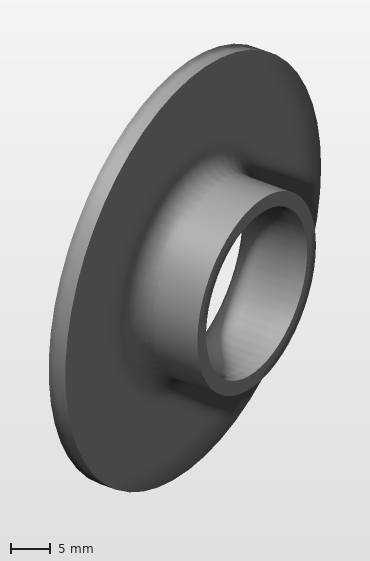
import cadquery as cq

length = 12.0
flange_diameter = 58.0
flange_thickness = 2.5
tube_outer_diameter = 26.9
tube_bore_diameter = 22.9
mouth_radius = 5.0
root_radius = 3.0

flange_r = flange_diameter / 2
tube_r = tube_outer_diameter / 2
bore_r = tube_bore_diameter / 2


def collar_profile():
    """Half section in the XY plane: X along the axis, Y as the radius."""
    return (
        cq.Workplane("XY")
        .moveTo(0, bore_r + mouth_radius)
        .lineTo(0, flange_r)
        .lineTo(flange_thickness, flange_r)
        .lineTo(flange_thickness, tube_r + root_radius)
        .radiusArc((flange_thickness + root_radius, tube_r), -root_radius)
        .lineTo(length, tube_r)
        .lineTo(length, bore_r)
        .lineTo(mouth_radius, bore_r)
        .radiusArc((0, bore_r + mouth_radius), mouth_radius)
        .close()
    )


result = collar_profile().revolve(360, (0, 0, 0), (1, 0, 0))